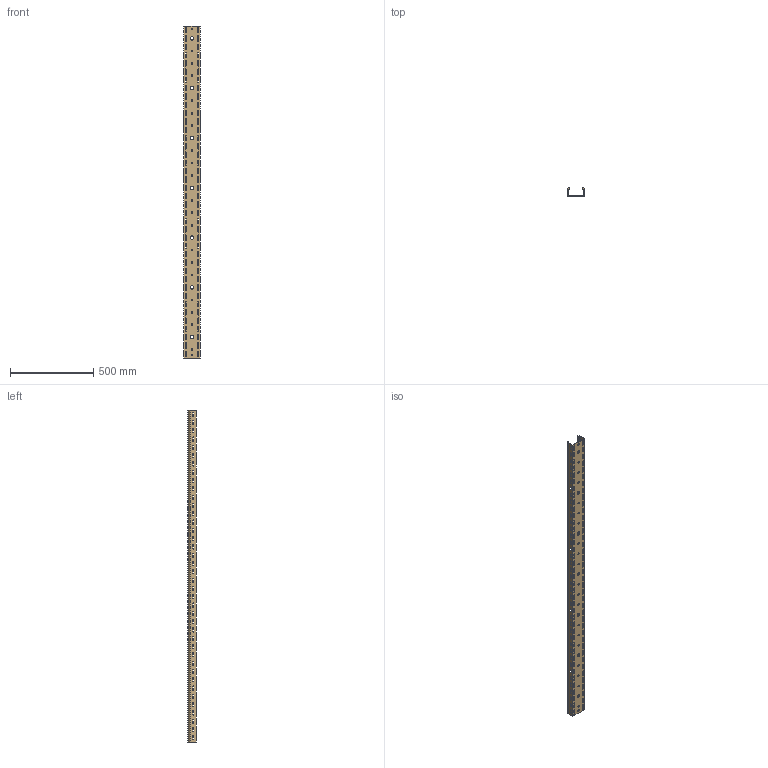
import cadquery as cq
import math

LENGTH = 2000.0
WIDTH = 100.0
DEPTH = 50.0
SHEET = 2.0

HOOK_WIDTH = 10.0
HOOK_ANGLE = 50.0
THROAT_Y = 18.5
STEM = 2.0

SLOT_PITCH = 50.0
ALONG_LENGTH = 90.0
WALL_SLOT_LENGTH = 25.0
WALL_SLOT_WIDTH = 7.0
WALL_SLOT_Y = -7.5
WEB_SLOT_LENGTH = 32.0
WEB_SLOT_WIDTH = 7.0
WEB_SLOT_X = 37.0

HOLE_PITCH = 75.0
FIRST_HOLE_HEIGHT = 50.0
HOLE_COUNT = 26
LARGE_HOLE_DIAMETER = 21.0
SMALL_HOLE_DIAMETER = 10.5
FIRST_LARGE_HOLE = 1
LARGE_HOLE_EVERY = 4
END_HOLE_MARGIN = 18.0

SIDE = WIDTH / 2
BACK = -DEPTH / 2
FRONT = DEPTH / 2
BOTTOM = -LENGTH / 2
WEB_INSIDE = BACK + SHEET
WALL_INSIDE = SIDE - SHEET
HOOK_INSIDE = SIDE - HOOK_WIDTH
STEM_OUTSIDE = HOOK_INSIDE + STEM


def right_half_section():
    """Half of the web, one side wall and its hook, which ends in a rounded nose."""
    normal_x = math.cos(math.radians(HOOK_ANGLE))
    normal_y = math.sin(math.radians(HOOK_ANGLE))
    rise_per_run = normal_x / normal_y

    bend_y = THROAT_Y - (SIDE - STEM_OUTSIDE) * rise_per_run
    half_turn = math.radians(HOOK_ANGLE) / 2
    inner_bend_y = bend_y - SHEET * math.tan(half_turn)
    inner_throat_y = inner_bend_y + (WALL_INSIDE - HOOK_INSIDE) * rise_per_run

    nose_radius = (HOOK_WIDTH * normal_x - (FRONT - THROAT_Y) * normal_y) / (normal_x - normal_y + 1)
    nose_x = HOOK_INSIDE + nose_radius
    nose_y = FRONT - nose_radius
    slope_end = (nose_x + nose_radius * normal_x, nose_y + nose_radius * normal_y)

    return (
        cq.Workplane("XY")
        .moveTo(0, BACK)
        .lineTo(SIDE, BACK)
        .lineTo(SIDE, bend_y)
        .lineTo(STEM_OUTSIDE, THROAT_Y)
        .lineTo(SIDE, THROAT_Y)
        .lineTo(*slope_end)
        .threePointArc((nose_x, FRONT), (HOOK_INSIDE, nose_y))
        .lineTo(HOOK_INSIDE, inner_throat_y)
        .lineTo(WALL_INSIDE, inner_bend_y)
        .lineTo(WALL_INSIDE, WEB_INSIDE)
        .lineTo(0, WEB_INSIDE)
        .close()
    )


def channel():
    """The plain channel, centred on the origin with its length along Z."""
    half = right_half_section().extrude(LENGTH).translate((0, 0, BOTTOM))
    return half.union(half.mirror("YZ"))


def slot_heights():
    """Slot centres along Z, half a pitch in from each end."""
    count = round(LENGTH / SLOT_PITCH)
    return [BOTTOM + (i + 0.5) * SLOT_PITCH for i in range(count)]


def wall_slots():
    """Cutters that pass through both side walls."""
    points = [(WALL_SLOT_Y, z) for z in slot_heights()]
    return (
        cq.Workplane("YZ")
        .pushPoints(points)
        .slot2D(WALL_SLOT_LENGTH, WALL_SLOT_WIDTH, ALONG_LENGTH)
        .extrude(SIDE, both=True)
    )


def web_points(points):
    """Points given by X and Z on the inner face of the web."""
    return cq.Workplane("XZ", origin=(0, WEB_INSIDE, 0)).pushPoints(points)


def web_slots():
    """Cutters for the two rows of slots beside the side walls."""
    points = [(x, z) for x in (-WEB_SLOT_X, WEB_SLOT_X) for z in slot_heights()]
    return web_points(points).slot2D(WEB_SLOT_LENGTH, WEB_SLOT_WIDTH, ALONG_LENGTH).extrude(SHEET)


def web_holes():
    """One row of holes: large ones at a regular interval, and a small one sits near each end."""
    large = []
    small = [(0, BOTTOM + END_HOLE_MARGIN), (0, -BOTTOM - END_HOLE_MARGIN)]
    for i in range(HOLE_COUNT):
        is_large = i % LARGE_HOLE_EVERY == FIRST_LARGE_HOLE
        row = large if is_large else small
        row.append((0, BOTTOM + FIRST_HOLE_HEIGHT + i * HOLE_PITCH))
    large_holes = web_points(large).circle(LARGE_HOLE_DIAMETER / 2).extrude(SHEET)
    small_holes = web_points(small).circle(SMALL_HOLE_DIAMETER / 2).extrude(SHEET)
    return large_holes.union(small_holes)


result = channel().cut(wall_slots()).cut(web_slots()).cut(web_holes())